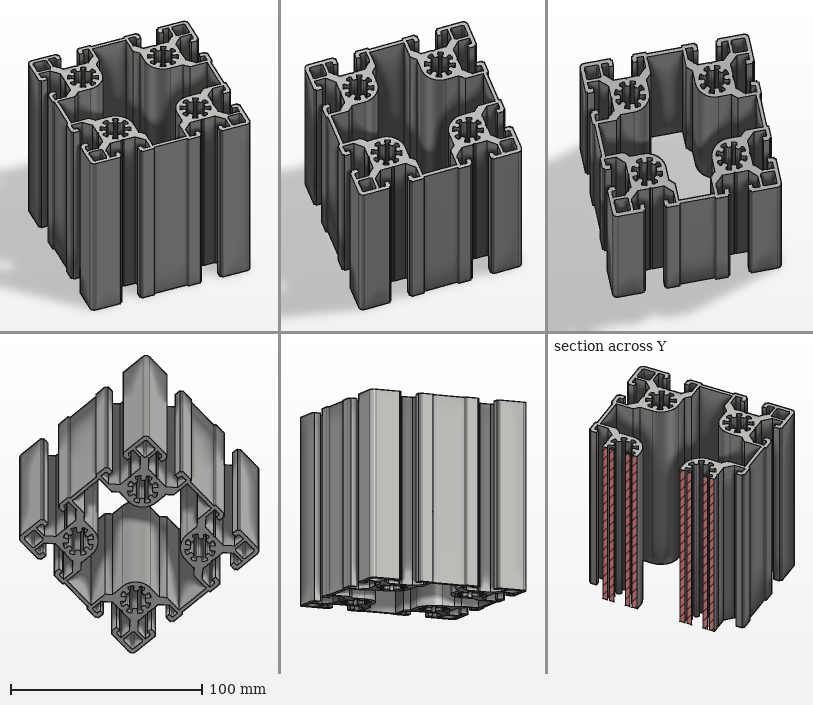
import cadquery as cq
import math

SIDE = 90.0
LENGTH = 100.0
HALF = SIDE / 2
CORNER_RADIUS = 2.5

CELL_OFFSET = SIDE / 4

STEP_DEPTH = 1.0
STEP_RADIUS = 0.4

MOUTH_HALF_WIDTH = 5.1
STEP_HALF_WIDTH = 6.0
LIP_THICKNESS = 2.5
LIP_DEPTH = 4.5
FLANGE_THICKNESS = 2.2
LIP_ROOT_RADIUS = 0.7
SLOT_HALF_WIDTH = 11.2
SLOT_DEPTH = 12.5
SLOT_BEVEL = 4.25
GROOVE_HALF_WIDTH = 0.8
GROOVE_DEPTH = 0.4

WEB_INNER_DEPTH = 3.0
WEB_HALF_WIDTH = 9.45

BOSS_RADIUS = 10.25
CAVITY_SHOULDER = 32.3

TUBE_WALL = FLANGE_THICKNESS
TUBE_SIZE = 7.5
TUBE_RADIUS = 1.0

TOOTH_COUNT = 8
BORE_ROOT_RADIUS = 8.1
BORE_TIP_RADIUS = 5.1
TOOTH_WIDTH = 2.8
TOOTH_TIP_FILLET = 0.9
TOOTH_ROOT_FILLET = 0.6

QUARTER_TURNS = (0, 90, 180, 270)
CELL_CENTRES = [(x, y) for x in (-CELL_OFFSET, CELL_OFFSET) for y in (-CELL_OFFSET, CELL_OFFSET)]


def rotated(point, degrees):
    """Turn an XY point about the origin."""
    angle = math.radians(degrees)
    x, y = point
    return (
        x * math.cos(angle) - y * math.sin(angle),
        x * math.sin(angle) + y * math.cos(angle),
    )


def make_body():
    """Solid square bar with rounded long edges."""
    bar = cq.Workplane("XY").rect(SIDE, SIDE).extrude(LENGTH)
    return bar.edges("|Z").fillet(CORNER_RADIUS)


def make_step_recess(half_width):
    """Recess in the middle of the +Y face, with each side rounded at its top and foot."""
    foot_x = half_width - STEP_RADIUS
    crest_x = half_width + STEP_RADIUS
    foot_y = HALF - STEP_DEPTH
    sweep = STEP_RADIUS * math.sin(math.pi / 4)
    drop = STEP_RADIUS - sweep
    return (
        cq.Workplane("XY")
        .moveTo(-foot_x, foot_y)
        .lineTo(foot_x, foot_y)
        .threePointArc((foot_x + sweep, foot_y + drop), (half_width, foot_y + STEP_RADIUS))
        .lineTo(half_width, HALF - STEP_RADIUS)
        .threePointArc((crest_x - sweep, HALF - drop), (crest_x, HALF))
        .lineTo(-crest_x, HALF)
        .threePointArc((-crest_x + sweep, HALF - drop), (-half_width, HALF - STEP_RADIUS))
        .lineTo(-half_width, foot_y + STEP_RADIUS)
        .threePointArc((-foot_x - sweep, foot_y + drop), (-foot_x, foot_y))
        .close()
        .extrude(LENGTH)
    )


def make_slot():
    """T-slot cutter, open to the +Y face and centred on X = 0."""
    lip_back = MOUTH_HALF_WIDTH + LIP_THICKNESS
    left_half = [
        (-MOUTH_HALF_WIDTH, STEP_DEPTH),
        (-MOUTH_HALF_WIDTH, LIP_DEPTH),
        (-lip_back, LIP_DEPTH),
        (-lip_back, FLANGE_THICKNESS),
        (-SLOT_HALF_WIDTH, FLANGE_THICKNESS),
        (-SLOT_HALF_WIDTH, SLOT_DEPTH - SLOT_BEVEL),
        (-SLOT_HALF_WIDTH + SLOT_BEVEL, SLOT_DEPTH),
        (-GROOVE_HALF_WIDTH, SLOT_DEPTH),
    ]
    right_half = [(-x, depth) for x, depth in reversed(left_half)]
    groove_bottom = (0, SLOT_DEPTH + GROOVE_DEPTH)
    outline = left_half + [groove_bottom] + right_half
    points = [(x, HALF - depth) for x, depth in outline]
    slot = cq.Workplane("XY").polyline(points).close().extrude(LENGTH)

    corner_y = HALF - FLANGE_THICKNESS
    for corner_x in (-lip_back, lip_back):
        lip_root = cq.selectors.NearestToPointSelector((corner_x, corner_y, LENGTH / 2))
        slot = slot.edges("|Z").edges(lip_root).fillet(LIP_ROOT_RADIUS)
    return slot.union(make_step_recess(STEP_HALF_WIDTH))


def make_cavity():
    """Cross-shaped central cavity with a convex round wall in each quadrant."""
    reach = HALF - WEB_INNER_DEPTH
    boss_edge = CELL_OFFSET - BOSS_RADIUS
    bevel = boss_edge - WEB_HALF_WIDTH
    arc_middle = CELL_OFFSET - BOSS_RADIUS * math.cos(math.pi / 4)

    before_arc = [
        (reach, WEB_HALF_WIDTH),
        (CAVITY_SHOULDER, WEB_HALF_WIDTH),
        (CAVITY_SHOULDER - bevel, boss_edge),
        (CELL_OFFSET, boss_edge),
    ]
    after_arc = [(y, x) for x, y in reversed(before_arc)]

    outline = cq.Workplane("XY").moveTo(reach, -WEB_HALF_WIDTH)
    for turn in QUARTER_TURNS:
        for point in before_arc:
            outline = outline.lineTo(*rotated(point, turn))
        outline = outline.threePointArc(
            rotated((arc_middle, arc_middle), turn),
            rotated(after_arc[0], turn),
        )
        remaining = after_arc[1:-1] if turn == QUARTER_TURNS[-1] else after_arc[1:]
        for point in remaining:
            outline = outline.lineTo(*rotated(point, turn))
    return outline.close().extrude(LENGTH)


def make_corner_tubes():
    """Rounded square holes, one in each corner of the bar."""
    offset = HALF - TUBE_WALL - TUBE_SIZE / 2
    return (
        cq.Workplane("XY")
        .rect(2 * offset, 2 * offset, forConstruction=True)
        .vertices()
        .rect(TUBE_SIZE, TUBE_SIZE)
        .extrude(LENGTH)
        .edges("|Z")
        .fillet(TUBE_RADIUS)
    )


def make_bore():
    """Bore cutter about the Z axis: a round hole less its inward-pointing teeth."""
    tooth_length = BORE_ROOT_RADIUS
    tooth = (
        cq.Workplane("XY")
        .center(BORE_TIP_RADIUS + tooth_length / 2, 0)
        .rect(tooth_length, TOOTH_WIDTH)
        .extrude(LENGTH)
        .edges("|Z and <X")
        .fillet(TOOTH_TIP_FILLET)
    )
    bore = cq.Workplane("XY").circle(BORE_ROOT_RADIUS).extrude(LENGTH)
    for index in range(TOOTH_COUNT):
        bore = bore.cut(tooth.rotate((0, 0, 0), (0, 0, 1), index * 360 / TOOTH_COUNT))

    root_x = math.sqrt(BORE_ROOT_RADIUS**2 - (TOOTH_WIDTH / 2) ** 2)
    for index in range(TOOTH_COUNT):
        for root_y in (-TOOTH_WIDTH / 2, TOOTH_WIDTH / 2):
            x, y = rotated((root_x, root_y), index * 360 / TOOTH_COUNT)
            root_corner = cq.selectors.NearestToPointSelector((x, y, LENGTH / 2))
            bore = bore.edges("|Z").edges(root_corner).fillet(TOOTH_ROOT_FILLET)
    return bore


def make_part():
    body = make_body().cut(make_cavity()).cut(make_corner_tubes())

    slot = make_slot()
    face_cuts = [
        slot.translate((-CELL_OFFSET, 0, 0)),
        slot.translate((CELL_OFFSET, 0, 0)),
        make_step_recess(WEB_HALF_WIDTH),
    ]
    for turn in QUARTER_TURNS:
        for cutter in face_cuts:
            body = body.cut(cutter.rotate((0, 0, 0), (0, 0, 1), turn))

    bore = make_bore()
    for x, y in CELL_CENTRES:
        body = body.cut(bore.translate((x, y, 0)))
    return body


result = make_part()